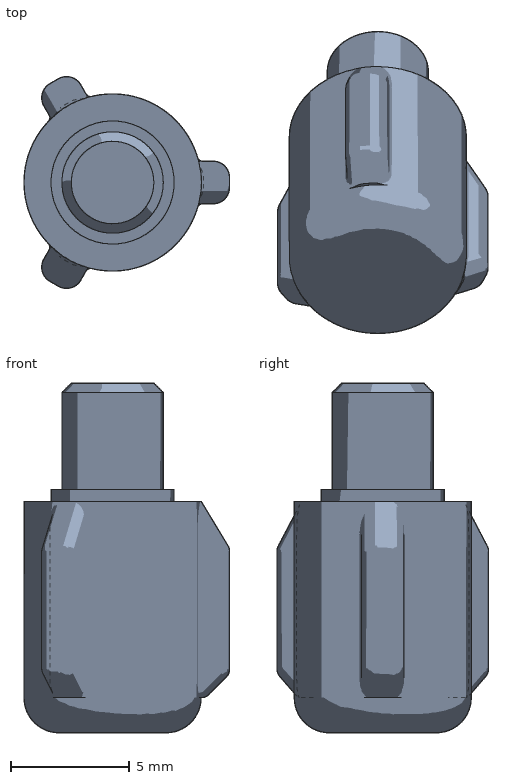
import cadquery as cq
import math

total_height = 14.8
body_diameter = 7.5
body_radius = body_diameter / 2
shoulder_height = 9.8
bottom_round = 1.5
collar_radius = 2.6
collar_top = 10.3
pin_radius = 2.15
pin_chamfer = 0.4

rib_count = 3
rib_width = 1.8
rib_overhang = 1.2
rib_tip_radius = body_radius + rib_overhang
rib_inner_radius = 2.22
rib_tip_bottom = 2.5
rib_tip_top = 7.81
rib_lower_slope_angle = 45.0
rib_side_round = 0.7
rib_corner_round = 0.4
rib_root_fillet = 0.2


def make_turned_body():
    profile = (
        cq.Workplane("XZ")
        .lineTo(body_radius - bottom_round, 0)
        .radiusArc((body_radius, bottom_round), -bottom_round)
        .lineTo(body_radius, shoulder_height)
        .lineTo(collar_radius, shoulder_height)
        .lineTo(collar_radius, collar_top)
        .lineTo(pin_radius, collar_top)
        .lineTo(pin_radius, total_height - pin_chamfer)
        .lineTo(pin_radius - pin_chamfer, total_height)
        .lineTo(0, total_height)
        .close()
    )
    return profile.revolve(360, (0, 0, 0), (0, 1, 0))


def make_slab(bottom, top):
    """Disc between two heights, wider than the whole part."""
    return cq.Workplane("XY", origin=(0, 0, bottom)).circle(2 * rib_tip_radius).extrude(top - bottom)


def make_rib():
    """Rounded rib on +X with sloped ends and a flat foot level with the bottom of the wall."""
    depth = rib_tip_radius - rib_inner_radius
    upper_slope = (shoulder_height - rib_tip_top) / rib_overhang
    lower_slope = math.tan(math.radians(rib_lower_slope_angle))
    rib = (
        cq.Workplane("XZ", origin=(0, rib_width / 2, 0))
        .moveTo(rib_inner_radius, rib_tip_bottom - lower_slope * depth)
        .lineTo(rib_tip_radius, rib_tip_bottom)
        .lineTo(rib_tip_radius, rib_tip_top)
        .lineTo(rib_inner_radius, rib_tip_top + upper_slope * depth)
        .close()
        .extrude(rib_width)
    )
    rib = rib.edges("|Y and >X").fillet(rib_corner_round)
    rib = rib.faces("<Y or >Y").edges("not <X").fillet(rib_side_round)
    rib = rib.intersect(make_slab(bottom_round, total_height))
    return rib.faces("<Z").edges("not <X").fillet(rib_corner_round)


def make_blended_rib():
    """Rib with its root fillet on a tall cylinder, trimmed to the straight wall of the body."""
    cylinder = (
        cq.Workplane("XY", origin=(0, 0, -total_height))
        .circle(body_radius)
        .extrude(3 * total_height)
        .rotate((0, 0, 0), (0, 0, 1), 180)
    )
    joined = cylinder.union(make_rib())
    root_zone = cq.selectors.BoxSelector(
        (rib_inner_radius, -rib_width, 0),
        (body_radius, rib_width, total_height),
    )
    blended = joined.edges(root_zone).fillet(rib_root_fillet)
    return blended.intersect(make_slab(bottom_round, shoulder_height))


result = make_turned_body()
blended_rib = make_blended_rib()
for index in range(rib_count):
    result = result.union(blended_rib.rotate((0, 0, 0), (0, 0, 1), index * 360 / rib_count))
result = result.clean()